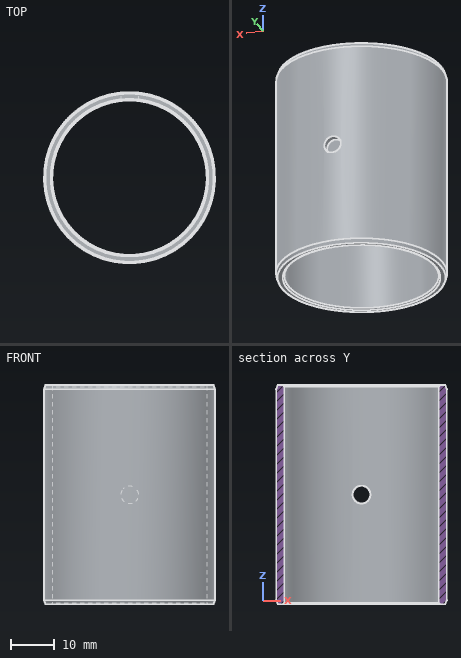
import cadquery as cq
import math

LENGTH = 50.0
OUTER_DIAMETER = 39.0
WALL_THICKNESS = 1.935
LEAD_LENGTH = 1.0
LEAD_ANGLE = 20.0
BORE_CHAMFER = 0.4
OIL_HOLE_DIAMETER = 4.0

outer_radius = OUTER_DIAMETER / 2
bore_radius = outer_radius - WALL_THICKNESS
lead_depth = LEAD_LENGTH * math.tan(math.radians(LEAD_ANGLE))
end_outer_radius = outer_radius - lead_depth
end_inner_radius = bore_radius + BORE_CHAMFER


def make_sleeve():
    """Revolve the chamfered wall section about Z, with its base at Z = 0."""
    section = (
        cq.Workplane("YZ")
        .moveTo(end_inner_radius, 0)
        .lineTo(end_outer_radius, 0)
        .lineTo(outer_radius, LEAD_LENGTH)
        .lineTo(outer_radius, LENGTH - LEAD_LENGTH)
        .lineTo(end_outer_radius, LENGTH)
        .lineTo(end_inner_radius, LENGTH)
        .lineTo(bore_radius, LENGTH - BORE_CHAMFER)
        .lineTo(bore_radius, BORE_CHAMFER)
        .close()
    )
    return section.revolve(360, (0, 0, 0), (0, 1, 0))


def make_oil_hole():
    """Radial cutter through the +Y wall at mid-length."""
    mid_length_plane = cq.Workplane("XZ", origin=(0, 0, LENGTH / 2))
    return mid_length_plane.circle(OIL_HOLE_DIAMETER / 2).extrude(-OUTER_DIAMETER)


result = make_sleeve().cut(make_oil_hole())